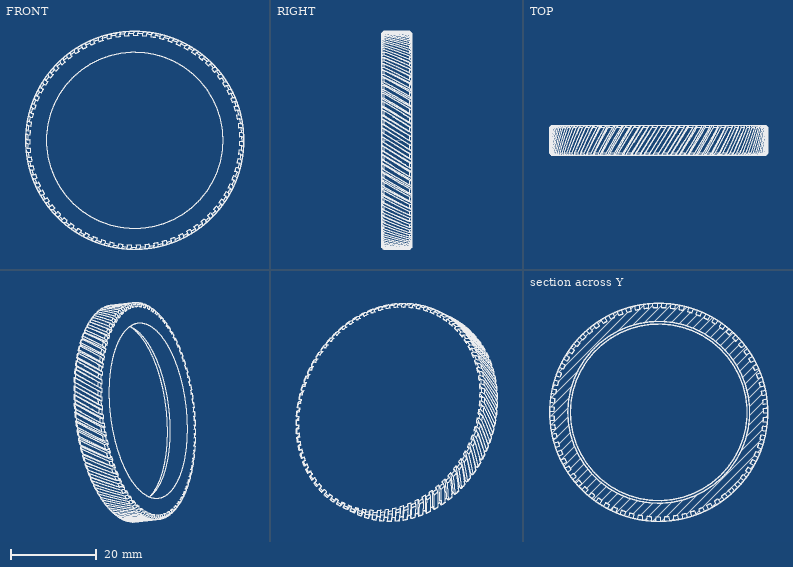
import cadquery as cq
import math

OUTER_RADIUS = 25.4
THICKNESS = 7.0
EDGE_CHAMFER = 0.5
POCKET_RADIUS = 20.5
MOUTH_DEPTH = 4.45
UNDERCUT_HEIGHT = 1.0
UNDERCUT_DEPTH = 0.6

GROOVE_COUNT = 75
GROOVE_WIDTH = 0.95
GROOVE_DEPTH = 1.0
GROOVE_TWIST = 10.0
OPEN_FACE_GROOVE_ANGLE = 89.6

TRIM_ALLOWANCE = 0.5


def polar(angle, radius):
    """Point at an angle in degrees and a distance from the axis."""
    turn = math.radians(angle)
    return radius * math.cos(turn), radius * math.sin(turn)


def disc(radius, bottom, height):
    return cq.Workplane("XY").workplane(offset=bottom).circle(radius).extrude(height)


def toothed_disc():
    """Disc with helical teeth, its teeth slightly taller than the finished rim."""
    floor_radius = OUTER_RADIUS - GROOVE_DEPTH
    tip_radius = OUTER_RADIUS + TRIM_ALLOWANCE
    first_groove = OPEN_FACE_GROOVE_ANGLE - GROOVE_TWIST
    pitch = 360 / GROOVE_COUNT
    half_groove = math.degrees(GROOVE_WIDTH / 2 / OUTER_RADIUS)

    profile = cq.Workplane("XY").moveTo(*polar(first_groove + half_groove, floor_radius))
    for index in range(GROOVE_COUNT):
        groove = first_groove + index * pitch
        next_groove = groove + pitch
        tooth_start = groove + half_groove
        tooth_middle = groove + pitch / 2
        tooth_end = next_groove - half_groove
        profile = (
            profile.lineTo(*polar(tooth_start, tip_radius))
            .threePointArc(polar(tooth_middle, tip_radius), polar(tooth_end, tip_radius))
            .lineTo(*polar(tooth_end, floor_radius))
            .threePointArc(polar(next_groove, floor_radius), polar(next_groove + half_groove, floor_radius))
        )
    return profile.close().twistExtrude(THICKNESS, GROOVE_TWIST)


def rim_envelope():
    """Outer cylinder whose 45 degree end chamfers run on past the two end faces."""
    end_radius = OUTER_RADIUS - EDGE_CHAMFER - TRIM_ALLOWANCE
    half_outline = [
        (0, -TRIM_ALLOWANCE),
        (end_radius, -TRIM_ALLOWANCE),
        (OUTER_RADIUS, EDGE_CHAMFER),
        (OUTER_RADIUS, THICKNESS - EDGE_CHAMFER),
        (end_radius, THICKNESS + TRIM_ALLOWANCE),
        (0, THICKNESS + TRIM_ALLOWANCE),
    ]
    return cq.Workplane("XZ").polyline(half_outline).close().revolve(360, (0, 0, 0), (0, 1, 0))


def pocket():
    """Round pocket from the open face, with a wider undercut at its floor."""
    mouth_bottom = THICKNESS - MOUTH_DEPTH
    mouth = disc(POCKET_RADIUS, mouth_bottom, MOUTH_DEPTH)
    undercut = disc(POCKET_RADIUS + UNDERCUT_DEPTH, mouth_bottom - UNDERCUT_HEIGHT, UNDERCUT_HEIGHT)
    return mouth.union(undercut)


cap = toothed_disc().intersect(rim_envelope(), clean=False).cut(pocket(), clean=False)
result = cap.rotate((0, 0, 0), (1, 0, 0), 90)